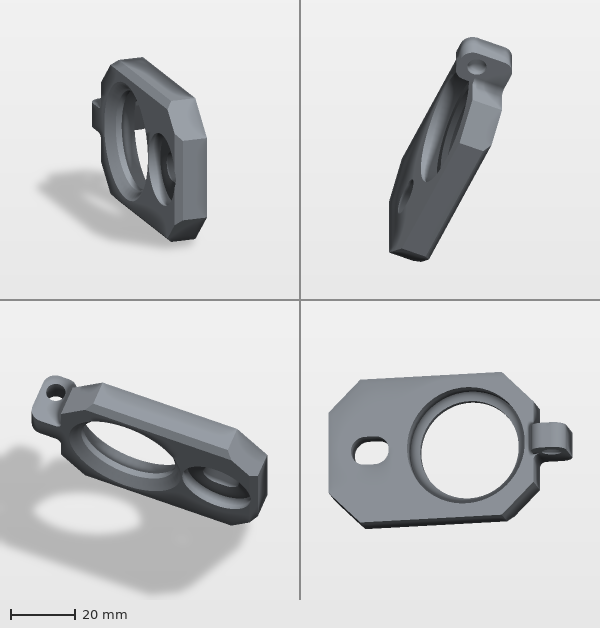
import cadquery as cq

plate_left = 11.0
plate_right = 76.0
plate_height = 46.0
plate_thickness = 10.0
corner_cut = 10.0
edge_chamfer = 2.0

bore_x = 32.45
bore_mouth_radius = 18.7
bore_throat_radius = 15.65
front_cone_depth = 2.65
throat_length = 2.0
rear_bore_radius = 18.7

slot_x = 62.9
slot_length = 12.0
slot_width = 9.0
pocket_radius = 11.4
pocket_depth = 4.0

lug_depth = 17.0
lug_height = 8.0
lug_corner_radius = 4.0
lug_root_radius = 2.0
lug_hole_x = 4.95
lug_hole_y = 11.2
lug_hole_diameter = 6.0


def front_plane(depth):
    """Workplane parallel to the front face, at a depth behind it, facing -Y."""
    return cq.Workplane("XZ", origin=(0, depth, 0))


def make_plate():
    width = plate_right - plate_left
    center_x = (plate_left + plate_right) / 2
    plate = (
        front_plane(0)
        .center(center_x, 0)
        .rect(width, plate_height)
        .extrude(-plate_thickness)
        .edges("|Y")
        .chamfer(corner_cut)
    )
    for side in (">Z", "<Z", ">X"):
        plate = plate.faces(side).edges("<Y").chamfer(edge_chamfer)
    return plate


def make_lug():
    block = cq.Workplane("XY").box(plate_left, lug_depth, lug_height, centered=(False, False, True))
    return (
        block.edges("|Z and <X").fillet(lug_corner_radius)
        .edges("|Z and >X and >Y").fillet(lug_corner_radius)
    )


def fillet_lug_roots(body):
    reach = 0.1
    for side in (-1, 1):
        root_z = side * lug_height / 2
        selector = cq.selectors.BoxSelector(
            (plate_left - reach, -reach, root_z - reach),
            (plate_left + reach, plate_thickness + reach, root_z + reach),
        )
        body = body.edges("|Y").edges(selector).fillet(lug_root_radius)
    return body


def make_bore():
    rear_bore_start = front_cone_depth + throat_length
    return (
        cq.Workplane("XY", origin=(bore_x, 0, 0))
        .lineTo(bore_mouth_radius, 0)
        .lineTo(bore_throat_radius, front_cone_depth)
        .lineTo(bore_throat_radius, rear_bore_start)
        .lineTo(rear_bore_radius, rear_bore_start)
        .lineTo(rear_bore_radius, plate_thickness)
        .lineTo(0, plate_thickness)
        .close()
        .revolve(360, (0, 0), (0, 1))
    )


def make_slotted_hole():
    pocket = front_plane(0).center(slot_x, 0).circle(pocket_radius).extrude(-pocket_depth)
    slot = front_plane(0).center(slot_x, 0).slot2D(slot_length, slot_width).extrude(-plate_thickness)
    return pocket.union(slot)


def make_lug_hole():
    return (
        cq.Workplane("XY", origin=(lug_hole_x, lug_hole_y, -lug_height / 2))
        .circle(lug_hole_diameter / 2)
        .extrude(lug_height)
    )


body = fillet_lug_roots(make_plate().union(make_lug()))
result = body.cut(make_bore()).cut(make_slotted_hole()).cut(make_lug_hole())